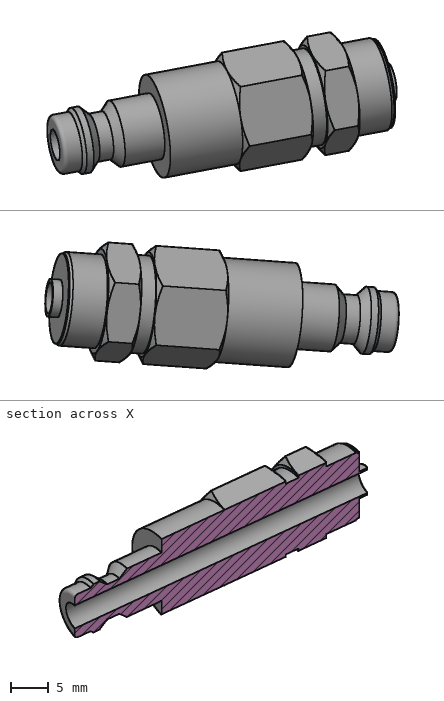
import cadquery as cq
import math

length = 47.0
tip_end = 2.55
bead_start = 3.0
bead_end = 4.0
neck_start = 5.2
neck_end = 7.15
plug_start = 8.35
body_start = 13.9
body_hex_start = 24.0
body_hex_end = 33.9
nut_hex_start = 35.9
nut_hex_end = 40.4
nut_shoulder = 45.1
nut_step = 45.5
nut_end = 45.7

bore_radius = 2.09
tip_radius = 4.05
plug_radius = 4.5
neck_radius = 3.3
collar_radius = 6.6
nut_radius = 6.3
nut_lip_radius = 6.05
stub_radius = 2.55
tip_fillet = 0.55

across_flats = 14.0
body_radius = across_flats / 2
corner_radius = across_flats / math.sqrt(3)
hex_chamfer_angle = 30.0


def revolve_profile(points):
    """Revolve (radius, y) points about the Y axis."""
    return cq.Workplane("XY").polyline(points).close().revolve(360, (0, 0, 0), (0, 1, 0))


def chamfered_hex(start, end):
    """Hexagonal prism along Y with its corners turned off conically at both ends."""
    prism = (
        cq.Workplane("XZ", origin=(0, start, 0))
        .polygon(6, 2 * corner_radius)
        .extrude(start - end)
    )
    envelope_radius = 1.1 * corner_radius
    cone_height = (envelope_radius - body_radius) * math.tan(math.radians(hex_chamfer_angle))
    envelope = revolve_profile([
        (0, start),
        (body_radius, start),
        (envelope_radius, start + cone_height),
        (envelope_radius, end - cone_height),
        (body_radius, end),
        (0, end),
    ])
    return prism.intersect(envelope)


turned = revolve_profile([
    (0, 0),
    (tip_radius, 0),
    (tip_radius, tip_end),
    (plug_radius, bead_start),
    (plug_radius, bead_end),
    (neck_radius, neck_start),
    (neck_radius, neck_end),
    (plug_radius, plug_start),
    (plug_radius, body_start),
    (body_radius, body_start),
    (body_radius, body_hex_start),
    (collar_radius, body_hex_start),
    (collar_radius, nut_hex_start),
    (nut_radius, nut_hex_start),
    (nut_radius, nut_shoulder),
    (nut_lip_radius, nut_step),
    (nut_lip_radius, nut_end),
    (stub_radius, nut_end),
    (stub_radius, length),
    (0, length),
])
turned = turned.faces("<Y").edges().fillet(tip_fillet)

body_hex = chamfered_hex(body_hex_start, body_hex_end)
nut_hex = chamfered_hex(nut_hex_start, nut_hex_end)

bore = cq.Workplane("XZ").circle(bore_radius).extrude(-length)

result = turned.union(body_hex).union(nut_hex).cut(bore)